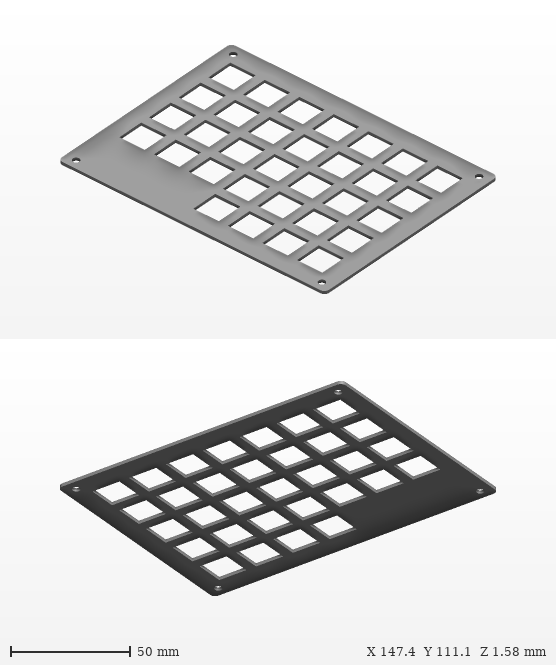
import cadquery as cq

PLATE_LENGTH = 147.36
PLATE_WIDTH = 111.06
PLATE_THICKNESS = 1.58
CORNER_RADIUS = 2.54

SCREW_HOLE_DIAMETER = 3.6
SCREW_SPACING_X = 135.6
SCREW_SPACING_Y = 100.9
SCREW_OFFSET_Y = -0.25

KEY_PITCH = 19.05
KEY_OPENING = 14.0
KEY_COLUMNS = 7
KEY_ROWS = 5
BLANK_COLUMNS = 3
GRID_OFFSET_X = -0.7
GRID_OFFSET_Y = -0.3


def plate():
    """Flat plate with rounded corners, centred on the origin."""
    return (
        cq.Workplane("XY")
        .box(PLATE_LENGTH, PLATE_WIDTH, PLATE_THICKNESS)
        .edges("|Z")
        .fillet(CORNER_RADIUS)
    )


def key_centres():
    """Centre of every key opening; the bottom row starts after the blank columns."""
    first_x = GRID_OFFSET_X - (KEY_COLUMNS - 1) / 2 * KEY_PITCH
    first_y = GRID_OFFSET_Y - (KEY_ROWS - 1) / 2 * KEY_PITCH
    centres = []
    for row in range(KEY_ROWS):
        first_column = BLANK_COLUMNS if row == 0 else 0
        for column in range(first_column, KEY_COLUMNS):
            centres.append((first_x + column * KEY_PITCH, first_y + row * KEY_PITCH))
    return centres


def cut_key_openings(body):
    """Cut the square openings through the plate."""
    return (
        body.faces(">Z")
        .workplane(origin=(0, 0, 0))
        .pushPoints(key_centres())
        .rect(KEY_OPENING, KEY_OPENING)
        .cutThruAll()
    )


def drill_screw_holes(body):
    """Drill one through hole near each corner."""
    return (
        body.faces(">Z")
        .workplane(origin=(0, SCREW_OFFSET_Y, 0))
        .rect(SCREW_SPACING_X, SCREW_SPACING_Y, forConstruction=True)
        .vertices()
        .hole(SCREW_HOLE_DIAMETER)
    )


result = drill_screw_holes(cut_key_openings(plate()))